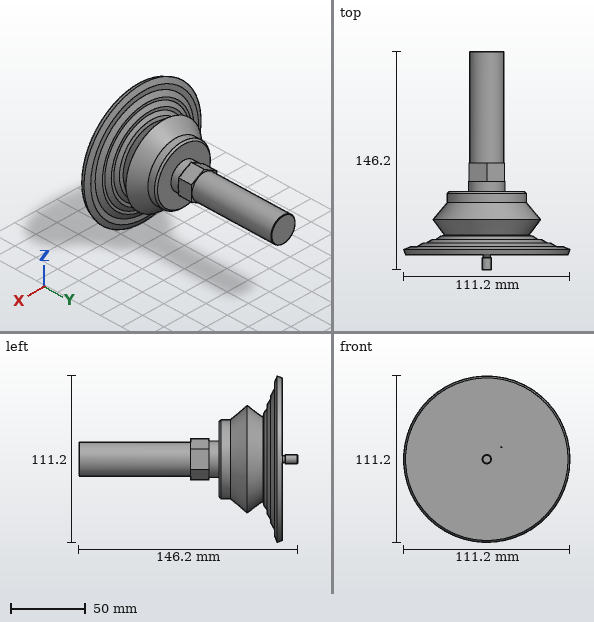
import cadquery as cq

LENGTH = 146.2
TIP_Y = -LENGTH / 2

PIN_SHOULDER = 8.2
LIP_FACE = 10.2
LIP_EDGE = 13.7
LEDGE_HEIGHTS = (15.6, 18.1, 20.5)
CUP_TOP = 22.7
WAIST = 23.4
BELLOWS_PEAK = 33.8
COLLAR_BASE = 45.0
COLLAR_TOP = 52.6
NUT_BASE = 59.3
NUT_TOP = 71.6

PIN_DIAMETER = 6.1
PIN_NECK_DIAMETER = 5.0
LIP_DIAMETER = 111.2
LIP_FACE_DIAMETER = 108.6
LEDGE_DIAMETERS = (102.3, 85.0, 73.1)
CUP_TOP_DIAMETER = 62.0
WAIST_DIAMETER = 56.4
BELLOWS_DIAMETER = 71.9
COLLAR_DIAMETER = 53.0
NECK_DIAMETER = 24.5
ROD_DIAMETER = 23.0
NUT_ACROSS_FLATS = 24.0

PIN_CHAMFER = 0.5
ROD_CHAMFER = 0.5
COLLAR_CHAMFER = 1.5
LEDGE_WIDTHS = (4.2, 2.2, 2.5)


def turned(profile):
    """Revolve (diameter, station) points about the Y axis, closing on the axis."""
    rim = [(diameter / 2, TIP_Y + station) for diameter, station in profile]
    outline = [(0, rim[0][1])] + rim + [(0, rim[-1][1])]
    return cq.Workplane("XY").polyline(outline).close().revolve(360, (0, 0), (0, 1))


def cup():
    """Flared cup with a stepped back, folded bellows and mounting collar."""
    profile = [(LIP_FACE_DIAMETER, LIP_FACE), (LIP_DIAMETER, LIP_EDGE)]
    for diameter, height, ledge in zip(LEDGE_DIAMETERS, LEDGE_HEIGHTS, LEDGE_WIDTHS):
        profile.append((diameter, height))
        profile.append((diameter - 2 * ledge, height))
    profile += [
        (CUP_TOP_DIAMETER, CUP_TOP),
        (WAIST_DIAMETER, WAIST),
        (BELLOWS_DIAMETER, BELLOWS_PEAK),
        (COLLAR_DIAMETER, COLLAR_BASE),
        (COLLAR_DIAMETER, COLLAR_TOP - COLLAR_CHAMFER),
        (COLLAR_DIAMETER - 2 * COLLAR_CHAMFER, COLLAR_TOP),
    ]
    return turned(profile)


def centre_pin():
    """Pin with chamfered ends on a thinner neck that stands out of the cup face."""
    end_diameter = PIN_DIAMETER - 2 * PIN_CHAMFER
    return turned([
        (end_diameter, 0),
        (PIN_DIAMETER, PIN_CHAMFER),
        (PIN_DIAMETER, PIN_SHOULDER),
        (PIN_NECK_DIAMETER, PIN_SHOULDER + PIN_CHAMFER),
        (PIN_NECK_DIAMETER, LIP_FACE),
    ])


def neck_and_rod():
    """Neck below the nut and the long rod with a chamfered free end."""
    return turned([
        (NECK_DIAMETER, COLLAR_TOP),
        (NECK_DIAMETER, NUT_BASE),
        (ROD_DIAMETER, NUT_BASE),
        (ROD_DIAMETER, LENGTH - ROD_CHAMFER),
        (ROD_DIAMETER - 2 * ROD_CHAMFER, LENGTH),
    ])


def hex_nut():
    """Hexagon with two flats facing +X and -X and corners on the Z axis."""
    return (
        cq.Workplane("XZ", origin=(0, TIP_Y + NUT_BASE, 0))
        .polygon(6, NUT_ACROSS_FLATS, circumscribed=True)
        .extrude(NUT_BASE - NUT_TOP)
    )


result = cup().union(centre_pin()).union(neck_and_rod()).union(hex_nut())